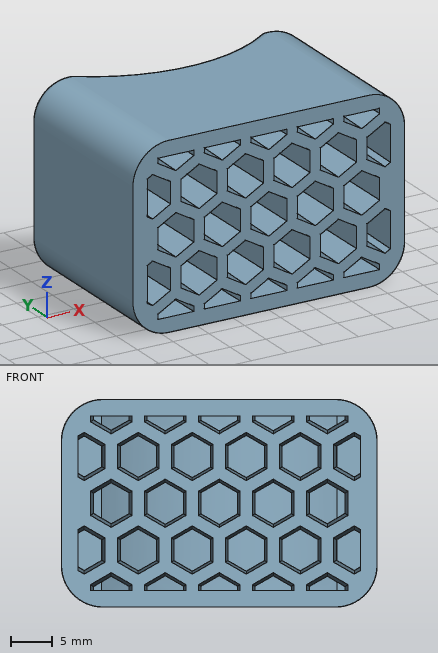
import cadquery as cq
import math

length = 38.0
depth = 24.5
height = 25.0
corner_radius = 5.0
edge_radius = 1.5

saddle_radius = 21.65
saddle_depth = 4.5
saddle_axis_y = depth - saddle_depth + saddle_radius

rim = 2.0
back_wall = 3.0
cell_width = 5.0
cell_pitch = 6.5
cell_draft = 1.0
rows_each_side = 2
columns_even_row = 5
columns_odd_row = 6
row_pitch = cell_pitch * math.sqrt(3) / 2
cell_diameter = cell_width * 2 / math.sqrt(3)
field_length = length - 2 * rim
field_height = height - 2 * rim


def cylinder_along_z(radius):
    """Full-height cylinder about the saddle axis."""
    return cq.Workplane("XY").center(0, saddle_axis_y).circle(radius).extrude(height)


def make_block():
    """Rounded block with the saddle cut in and the whole back outline rounded over."""
    block = (
        cq.Workplane("XY")
        .box(length, depth, height, centered=(True, False, False))
        .edges("|Y")
        .fillet(corner_radius)
        .cut(cylinder_along_z(saddle_radius))
    )
    block = block.edges("|Z and (not <X) and (not >X)").fillet(edge_radius)
    return block.faces(">Y").edges("<X").fillet(edge_radius)


def cell_centers():
    """X, Z centres of the staggered cells; odd rows hold one more cell than even rows."""
    centers = []
    for row in range(-rows_each_side, rows_each_side + 1):
        columns = columns_even_row if row % 2 == 0 else columns_odd_row
        for column in range(columns):
            x = (column - (columns - 1) / 2) * cell_pitch
            centers.append((x, height / 2 + row * row_pitch))
    return centers


def make_cells():
    """Drafted hexagonal prisms, trimmed by the rim and by a back wall that follows the saddle."""
    front = cq.Workplane("XZ")
    cavity_depth = depth - back_wall
    field = (
        front.center(0, height / 2)
        .rect(field_length, field_height)
        .extrude(-cavity_depth)
        .cut(cylinder_along_z(saddle_radius + back_wall))
    )
    cell = (
        front.transformed(rotate=(0, 0, 90))
        .polygon(6, cell_diameter)
        .extrude(-cavity_depth, taper=cell_draft)
    )
    cells = cq.Workplane()
    for x, z in cell_centers():
        cells = cells.add(cell.translate((x, 0, z)))
    return cells.combine().intersect(field)


result = make_block().cut(make_cells())